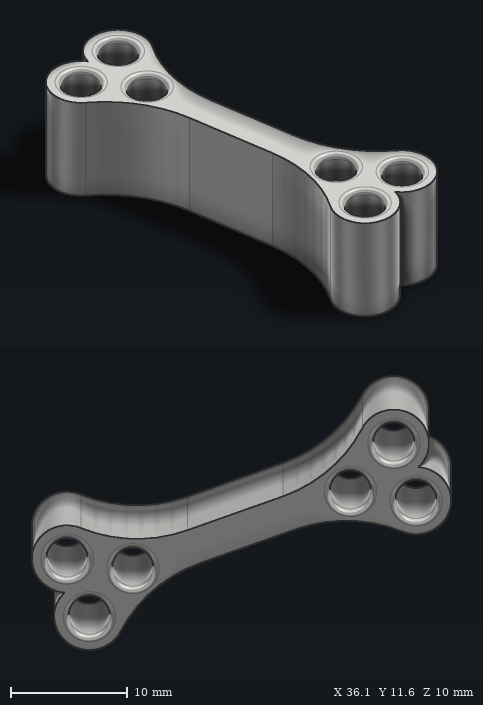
import cadquery as cq
import math

length = 36.08
height = 10.0
lobe_radius = 3.03
lobe_spacing = 5.52
inner_hole_x = 10.0
hole_diameter = 3.5
mouth_radius = 0.5
bar_width = 3.18
blend_radius = 12.5

lobe_x = length / 2 - lobe_radius
lobe_y = lobe_spacing / 2

center_distance = blend_radius + lobe_radius
blend_y = bar_width / 2 + blend_radius
blend_x = lobe_x - math.sqrt(center_distance**2 - (blend_y - lobe_y) ** 2)
blend_angle = math.atan2(lobe_y - blend_y, lobe_x - blend_x)
middle_angle = (blend_angle - math.pi / 2) / 2

notch_x = lobe_x + math.sqrt(lobe_radius**2 - lobe_y**2)


def blend_point(angle):
    """Point on the blend arc in the +X, +Y quadrant."""
    return (
        blend_x + blend_radius * math.cos(angle),
        blend_y + blend_radius * math.sin(angle),
    )


def make_quarter():
    """Quarter of the bone: half the bar, one blend and one lobe."""
    tangent_x, tangent_y = blend_point(blend_angle)
    lobe_tip = (lobe_x + lobe_radius, lobe_y)
    lobe_top = (lobe_x, lobe_y + lobe_radius)
    return (
        cq.Workplane("XY")
        .lineTo(0, bar_width / 2)
        .lineTo(blend_x, bar_width / 2)
        .threePointArc(blend_point(middle_angle), (tangent_x, tangent_y))
        .threePointArc(lobe_top, lobe_tip)
        .radiusArc((notch_x, 0), lobe_radius)
        .close()
        .extrude(height)
    )


def make_body():
    quarter = make_quarter()
    half = quarter.union(quarter.mirror("XZ"))
    return half.union(half.mirror("YZ")).clean()


def make_hole_cutter():
    """Through hole with a rounded mouth at both ends."""
    hole_radius = hole_diameter / 2
    rim_radius = hole_radius + mouth_radius
    arc_offset = mouth_radius * (1 - math.sqrt(0.5))
    return (
        cq.Workplane("XZ")
        .lineTo(rim_radius, 0)
        .threePointArc((hole_radius + arc_offset, arc_offset), (hole_radius, mouth_radius))
        .lineTo(hole_radius, height - mouth_radius)
        .threePointArc((hole_radius + arc_offset, height - arc_offset), (rim_radius, height))
        .lineTo(0, height)
        .close()
        .revolve(360, (0, 0, 0), (0, 1, 0))
    )


result = make_body()
hole_cutter = make_hole_cutter()
for side in (-1, 1):
    for x, y in ((lobe_x, lobe_y), (lobe_x, -lobe_y), (inner_hole_x, 0)):
        result = result.cut(hole_cutter.translate((side * x, y, 0)))